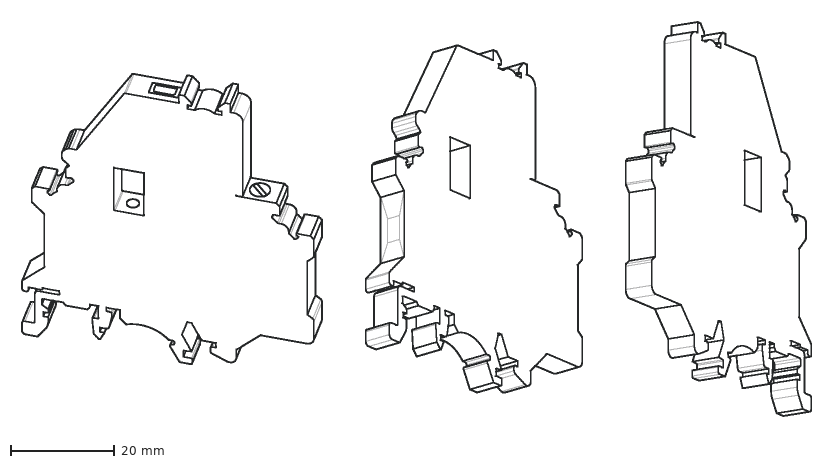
import cadquery as cq
import math

length = 58.5
height = 68.7
thickness = 6.0
mid_y = thickness / 2

floor_z = 10.65
ear_base_z = 34.35
ear_top_z = 38.45
ledge_z = 45.3
roof_z = 66.55
overlap = 1.0

ear_left_x = 1.9
wall_left_x = 4.45
wall_right_x = length - 1.3
wall_bottom_z = 18.1
wall_top_z = 31.8

mirror_x = (ear_left_x + length) / 2
spine_left_x = 11.55
spine_right_x = 2 * mirror_x - spine_left_x
chamfer = 0.7

label_x = 36.6
pocket_half_width = 3.4
pocket_floor_z = 65.45

window_left_x = 18.4
window_right_x = 24.45
window_sill_z = 36.0
window_top_z = 46.9

lug_right_x = 42.9
lug_slope_bottom_z = 5.8
lug_slope_top_x = lug_right_x + (floor_z - lug_slope_bottom_z)

screw_diameter = 4.0
pin_diameter = 2.5
mark_depth = 0.1
funnel_depth = 0.35

tiny_radius = 0.2
small_radius = 0.4


def plate(corners):
    """Extrude a closed XZ outline; a corner (x, z, r) is rounded with radius r."""
    count = len(corners)
    path = cq.Workplane("XZ")
    for i, corner in enumerate(corners):
        point = cq.Vector(corner[0], corner[1])
        draw_to = path.lineTo if i else path.moveTo
        if len(corner) == 2:
            path = draw_to(point.x, point.y)
            continue
        radius = corner[2]
        before = cq.Vector(*corners[i - 1][:2])
        after = cq.Vector(*corners[(i + 1) % count][:2])
        to_before = (before - point).normalized()
        to_after = (after - point).normalized()
        half_angle = to_before.getAngle(to_after) / 2
        tangent_length = radius / math.tan(half_angle)
        to_center = (to_before + to_after).normalized()
        middle = point + to_center * (radius / math.sin(half_angle) - radius)
        start = point + to_before * tangent_length
        end = point + to_after * tangent_length
        path = draw_to(start.x, start.y)
        path = path.threePointArc((middle.x, middle.y), (end.x, end.y))
    return path.close().extrude(-thickness)


def terminal_body():
    """Lower body with set-back side walls and a beak over the spring slit."""
    slit_end_x = 7.5
    slit_step_x = 4.05
    slit_roof_z = 12.7
    slit_mouth_z = 12.2
    beak_width = 1.3
    beak_tip_z = 11.05
    beak_radius = 0.55
    right_corner_radius = 1.5
    return plate([
        (0, beak_tip_z, beak_radius),
        (0, wall_bottom_z - wall_left_x, small_radius),
        (wall_left_x, wall_bottom_z),
        (wall_left_x, wall_top_z),
        (ear_left_x, ear_base_z),
        (spine_left_x, ear_base_z),
        (spine_left_x, ledge_z),
        (spine_right_x, ledge_z),
        (spine_right_x, ear_base_z),
        (length, ear_base_z),
        (length, 33.25, small_radius),
        (wall_right_x, wall_top_z),
        (wall_right_x, wall_bottom_z),
        (length, 17.2, 0.7),
        (length, floor_z, right_corner_radius),
        (slit_end_x, floor_z),
        (slit_end_x, slit_roof_z),
        (slit_step_x, slit_roof_z),
        (slit_step_x, slit_mouth_z),
        (beak_width, slit_mouth_z),
        (beak_width, beak_tip_z, beak_radius),
    ])


def shoulder():
    """Stepped left shoulder with a marker groove and an upper hook groove."""
    lip_x = 5.5
    step_x = ear_left_x + 5.1
    step_z = 40.25
    step_radius = 1.5
    hook_x = ear_left_x + 6.9
    hook_z = 42.2
    inner_x = spine_left_x + overlap
    return plate([
        (ear_left_x, ear_base_z),
        (ear_left_x, ear_top_z - chamfer),
        (ear_left_x + chamfer, ear_top_z),
        (lip_x, ear_top_z, tiny_radius),
        (lip_x, 38.05),
        (4.95, 37.65, tiny_radius),
        (5.7, 36.8, tiny_radius),
        (6.65, 37.9),
        (step_x, 38.1),
        (step_x, step_z, step_radius),
        (9.15, step_z, small_radius),
        (10.45, 41.55, small_radius),
        (9.9, 42.4, small_radius),
        (9.35, hook_z),
        (hook_x, hook_z, tiny_radius),
        (hook_x, ledge_z - chamfer),
        (hook_x + chamfer, ledge_z),
        (inner_x, ledge_z),
        (inner_x, ear_base_z),
    ])


def upper_housing():
    """Tall housing with a sloped front, a lobe at its foot and a rounded back."""
    foot_x = ear_left_x + 6.9 + chamfer
    lobe_left_x = 8.0
    lobe_top_z = 49.8
    lobe_radius = 1.1
    slope_foot_x = 10.9
    slope_top_x = 20.55
    back_x = 44.3
    back_radius = 1.9
    slit_end_x = 42.85
    slit_z = ledge_z + 0.1
    return plate([
        (foot_x, ledge_z - overlap),
        (foot_x, ledge_z),
        (8.9, 45.95),
        (lobe_left_x, 46.7, lobe_radius),
        (lobe_left_x, 48.6, lobe_radius),
        (8.8, 49.45),
        (9.35, 49.7),
        (9.9, lobe_top_z),
        (slope_foot_x, lobe_top_z),
        (slope_top_x, roof_z, small_radius),
        (back_x, roof_z, back_radius),
        (back_x, slit_z, small_radius),
        (slit_end_x, slit_z),
        (slit_end_x, ledge_z - overlap),
    ])


def label_pocket():
    """Open pocket in the roof between the two catches."""
    left_x = label_x - pocket_half_width
    right_x = label_x + pocket_half_width
    return plate([
        (left_x, pocket_floor_z),
        (right_x, pocket_floor_z),
        (right_x, height),
        (left_x, height),
    ])


def label_dome():
    """Low rounded rib on the pocket floor."""
    half_width = 2.0
    rise = 0.75
    root_z = pocket_floor_z - overlap
    return (
        cq.Workplane("XZ")
        .moveTo(label_x - half_width, pocket_floor_z)
        .threePointArc((label_x, pocket_floor_z + rise), (label_x + half_width, pocket_floor_z))
        .lineTo(label_x + half_width, root_z)
        .lineTo(label_x - half_width, root_z)
        .close()
        .extrude(-thickness)
    )


def catch():
    """Left snap catch, with its nose over the pocket."""
    outer_x = label_x - 5.15
    flat_end_x = label_x - 4.05
    nose_x = label_x - 2.7
    stem_x = label_x - pocket_half_width
    nose_top_z = 67.2
    nose_bottom_z = 66.35
    return plate([
        (outer_x, pocket_floor_z),
        (outer_x, height),
        (flat_end_x, height),
        (nose_x, nose_top_z, small_radius),
        (nose_x, nose_bottom_z),
        (stem_x, nose_bottom_z),
        (stem_x, pocket_floor_z),
    ])


def rail_foot():
    """Sprung left leg below the slit, with a toothed inner side."""
    leg_left_x = 2.55
    arm_top_z = 11.75
    arm_end_x = 13.6
    arm_bottom_z = 9.95
    pad_z = 9.3
    leg_right_x = 4.0
    tooth_x = 5.2
    tooth_top_z = 6.6
    tooth_root_x = 4.25
    tooth_bottom_z = 5.5
    heel_z = 3.35
    return plate([
        (leg_left_x, heel_z, 0.35),
        (leg_left_x, arm_top_z, 0.95),
        (arm_end_x, arm_top_z),
        (arm_end_x, arm_bottom_z),
        (13.1, pad_z),
        (8.8, pad_z),
        (8.25, arm_bottom_z),
        (leg_right_x, arm_bottom_z, small_radius),
        (leg_right_x, 8.45),
        (tooth_x, 7.55),
        (tooth_x, tooth_top_z),
        (tooth_root_x, tooth_top_z),
        (tooth_root_x, tooth_bottom_z),
        (tooth_x, tooth_bottom_z),
        (tooth_x, 3.15, 2.75),
        (3.15, 0),
        (0, 0, 0.8),
        (0, heel_z, 0.55),
    ])


def middle_hook():
    """Small hanging hook with a notch on its right side."""
    neck_left_x = 15.3
    neck_right_x = 16.9
    barb_z = 7.4
    notch_x = 15.6
    notch_bottom_z = 4.1
    notch_top_z = 5.2
    cheek_x = 18.0
    cheek_top_z = 9.7
    root_z = floor_z + overlap
    return plate([
        (neck_left_x, root_z),
        (neck_left_x, barb_z),
        (14.0, barb_z, small_radius),
        (14.35, 3.35),
        (15.6, 2.0, tiny_radius),
        (16.55, notch_bottom_z),
        (notch_x, notch_bottom_z),
        (notch_x, notch_top_z),
        (17.4, notch_top_z, 0.7),
        (cheek_x, 8.45),
        (cheek_x, cheek_top_z, tiny_radius),
        (neck_right_x, cheek_top_z, small_radius),
        (neck_right_x, root_z),
    ])


def rail_latch():
    """Arched saddle that ends in a hooked latch leg."""
    saddle_x = 19.65
    arch_start = (20.9, 7.2)
    arch_top = (24.7, 7.7)
    arch_end = (29.4, 5.2)
    notch_x = 30.55
    toe_x = 34.1
    toe_top_z = 1.6
    hook_x = 32.35
    gap_x = 33.1
    root_z = floor_z + overlap
    leg = plate([
        (saddle_x, root_z),
        (saddle_x, 8.5),
        arch_start,
        arch_end,
        (notch_x, arch_end[1], small_radius),
        (notch_x, 4.2, small_radius),
        (arch_end[0], 4.1, small_radius),
        (31.6, 0),
        (toe_x, 0, small_radius),
        (toe_x, toe_top_z, tiny_radius),
        (hook_x, toe_top_z),
        (hook_x, 3.15, tiny_radius),
        (34.0, 3.3),
        (32.1, 7.2),
        (gap_x, floor_z, tiny_radius),
        (gap_x, root_z),
    ])
    arch = (
        cq.Workplane("XZ")
        .moveTo(*arch_start)
        .threePointArc(arch_top, arch_end)
        .close()
        .extrude(-thickness)
    )
    return leg.cut(arch)


def release_lug():
    """Right lug with a notch for the rail edge and a rounded lower nose."""
    gap_x = 34.0
    notch_x = 38.9
    notch_top_z = 6.6
    notch_bottom_z = 5.4
    nose_x = 37.8
    root_z = floor_z + overlap
    return plate([
        (gap_x, root_z),
        (gap_x, floor_z),
        (36.0, notch_top_z),
        (notch_x, notch_top_z),
        (notch_x, notch_bottom_z),
        (nose_x, notch_bottom_z, small_radius),
        (nose_x, 3.85, 0.7),
        (lug_right_x, 1.6, 1.3),
        (lug_right_x, lug_slope_bottom_z),
        (lug_slope_top_x, floor_z),
        (lug_slope_top_x, root_z),
    ])


def window():
    """Through window with one eased lower corner."""
    return plate([
        (window_left_x, window_sill_z, tiny_radius),
        (window_left_x, window_top_z),
        (window_right_x, window_top_z),
        (window_right_x, window_sill_z),
    ])


def ledge_screw():
    """Shallow round screw head whose deeper slot stands at 45 degrees."""
    head_x = 46.9
    slot_width = 0.9
    slot_depth = 2 * mark_depth
    seat = cq.Workplane("XY", (head_x, mid_y, ledge_z))
    head = seat.circle(screw_diameter / 2).extrude(-mark_depth)
    slot_band = seat.transformed(rotate=(0, 0, -45)).rect(screw_diameter, slot_width).extrude(-slot_depth)
    slot_limit = seat.circle(screw_diameter / 2).extrude(-slot_depth)
    return head.union(slot_band.intersect(slot_limit))


def window_pin():
    """Shallow round pin seat centred on the window sill."""
    pin_x = (window_left_x + window_right_x) / 2
    return cq.Workplane("XY", (pin_x, mid_y, window_sill_z)).circle(pin_diameter / 2).extrude(-mark_depth)


def lamp_frame():
    """Shallow groove around the lamp lens on the roof."""
    lamp_x = 27.9
    frame_length, frame_width = 5.85, 2.95
    lens_length, lens_width = 4.3, 2.0
    lens_radius = 0.55
    roof = cq.Workplane("XY", (lamp_x, mid_y, roof_z))
    frame = roof.rect(frame_length, frame_width).extrude(-mark_depth)
    lens = roof.rect(lens_length, lens_width).extrude(-mark_depth)
    return frame.cut(lens.edges("|Z and <Y").fillet(lens_radius))


def wire_funnel():
    """Shallow four-sided funnel in the left side wall."""
    rim_width = thickness - 0.2
    rim_height = wall_top_z - wall_bottom_z
    throat_width, throat_height = 2.95, 4.95
    throat_drop = 0.3
    rim_center_z = (wall_bottom_z + wall_top_z) / 2
    return (
        cq.Workplane("YZ", (wall_left_x, mid_y, rim_center_z))
        .rect(rim_width, rim_height)
        .workplane(offset=funnel_depth)
        .center(0, -throat_drop)
        .rect(throat_width, throat_height)
        .loft()
    )


result = terminal_body().union(shoulder()).union(shoulder().mirror("YZ", (mirror_x, 0, 0)))
result = result.union(upper_housing())

result = result.cut(label_pocket()).union(label_dome())
result = result.union(catch()).union(catch().mirror("YZ", (label_x, 0, 0)))

for leg in (rail_foot(), middle_hook(), rail_latch(), release_lug()):
    result = result.union(leg)

for opening in (window(), ledge_screw(), window_pin(), lamp_frame(), wire_funnel()):
    result = result.cut(opening)